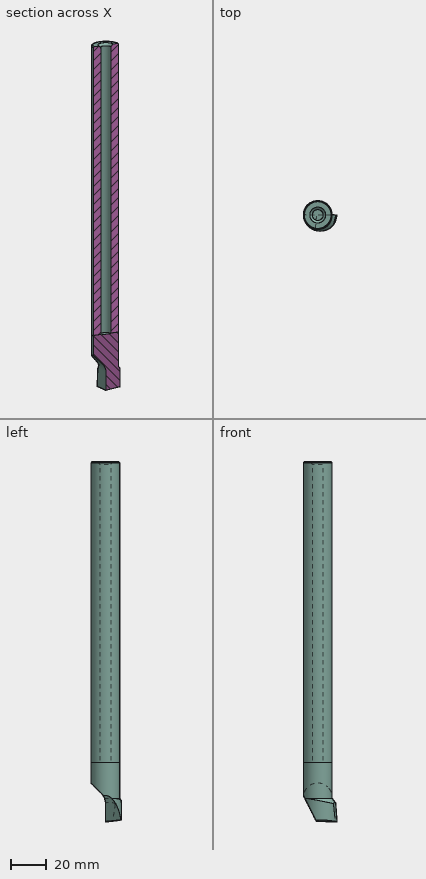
import cadquery as cq
import math

total_length = 201.2
head_length = 33.2

shank_diameter = 16.0
shank_radius = shank_diameter / 2
shank_chamfer = 0.6
bore_diameter = 6.0
bore_mouth_diameter = 8.9
bore_mouth_angle = 90.0

neck_radius = shank_radius
nose_radius = 9.5
nose_lowest_y = -9.0
nose_center_y = nose_lowest_y + nose_radius
tip_x = 10.9
nose_center_x = tip_x - math.sqrt(nose_radius**2 - nose_center_y**2)
swell_start_z = 13.3
swell_end_z = 9.7
swell_radius = math.hypot(nose_center_x, nose_center_y) + nose_radius

chip_face_top_z = 10.5
runout_radius = 8.0
runout_angle = math.radians(45)

back_top_z = 14.9
back_angle = math.radians(26.5)
back_corner_radius = 2.0

flank_relief_angle = 14.0
flank_taper_angle = 4.0
end_relief_angle = 6.0
end_taper_angle = 2.0

block_size = 80.5


def make_shank():
    """Straight bar with a chamfered end and a countersunk through bore."""
    bar = (
        cq.Workplane("XY")
        .workplane(offset=head_length)
        .circle(shank_radius)
        .extrude(total_length - head_length)
        .faces(">Z")
        .chamfer(shank_chamfer)
    )
    return (
        bar.faces(">Z")
        .workplane()
        .cskHole(bore_diameter, bore_mouth_diameter, bore_mouth_angle)
    )


def make_head_blank():
    """Neck with a conical swell, trimmed below to the eccentric nose."""
    swell = (
        cq.Workplane("XZ")
        .moveTo(0, 0)
        .lineTo(swell_radius, 0)
        .lineTo(swell_radius, swell_end_z)
        .lineTo(neck_radius, swell_start_z)
        .lineTo(0, swell_start_z)
        .close()
        .revolve(360, (0, 0), (0, 1))
    )
    nose = (
        cq.Workplane("XY")
        .center(nose_center_x, nose_center_y)
        .circle(nose_radius)
        .extrude(swell_start_z)
    )
    neck = cq.Workplane("XY").circle(neck_radius).extrude(head_length)
    return neck.union(swell.intersect(nose))


def make_chip_space():
    """Material removed on the +Y side, bounded by the chip face, arc and ramp."""
    def arc_point(angle):
        y = runout_radius * (1 - math.cos(angle))
        z = chip_face_top_z + runout_radius * math.sin(angle)
        return y, z

    ramp_y, ramp_z = arc_point(runout_angle)
    ramp_length_y = shank_diameter
    ramp_end = (ramp_y + ramp_length_y, ramp_z + ramp_length_y * math.tan(runout_angle))
    return (
        cq.Workplane("YZ")
        .moveTo(0, -block_size)
        .lineTo(0, chip_face_top_z)
        .threePointArc(arc_point(runout_angle / 2), (ramp_y, ramp_z))
        .lineTo(*ramp_end)
        .lineTo(ramp_end[0], -block_size)
        .close()
        .extrude(block_size, both=True)
    )


def make_back_envelope():
    """Region kept by the sloping back, with its lower corner rounded."""
    back_bottom_x = back_top_z * math.tan(back_angle) - shank_radius
    back_upper_x = back_bottom_x - head_length * math.tan(back_angle)
    return (
        cq.Workplane("XZ")
        .moveTo(back_bottom_x, 0)
        .lineTo(block_size, 0)
        .lineTo(block_size, head_length)
        .lineTo(back_upper_x, head_length)
        .close()
        .extrude(block_size, both=True)
        .edges(cq.selectors.NearestToPointSelector((back_bottom_x, 0, 0)))
        .fillet(back_corner_radius)
    )


def make_flank_relief():
    """Block whose -X face passes through the tip and leans away behind the edge."""
    return (
        cq.Workplane("XY")
        .box(block_size, block_size, block_size, centered=(False, True, True))
        .rotate((0, 0, 0), (0, 0, 1), -flank_relief_angle)
        .rotate((0, 0, 0), (0, 1, 0), -flank_taper_angle)
        .translate((tip_x, 0, 0))
    )


def make_end_relief():
    """Block whose top face passes through the tip and rises away from it."""
    return (
        cq.Workplane("XY")
        .box(block_size, block_size, block_size, centered=(True, True, False))
        .translate((0, 0, -block_size))
        .rotate((0, 0, 0), (1, 0, 0), -end_relief_angle)
        .rotate((0, 0, 0), (0, 1, 0), end_taper_angle)
        .translate((tip_x, 0, 0))
    )


def make_head():
    return (
        make_head_blank()
        .intersect(make_back_envelope())
        .cut(make_chip_space())
        .cut(make_flank_relief())
        .cut(make_end_relief())
    )


shank = make_shank()
head = make_head()

result = cq.Compound.makeCompound([shank.val(), head.val()])